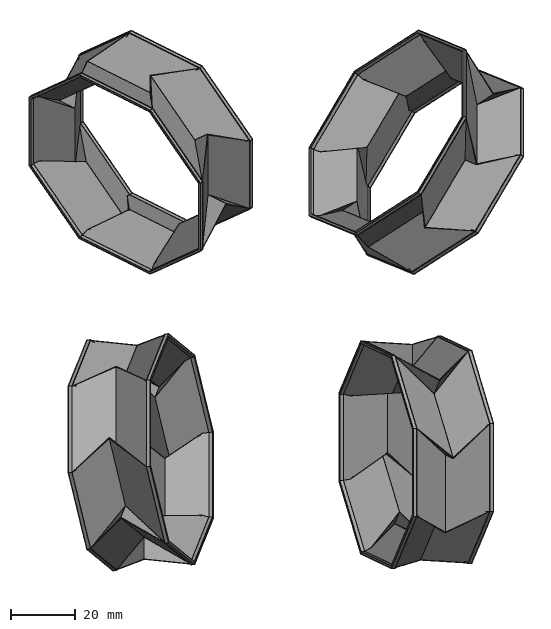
import math

import cadquery as cq

SIDES = 8
RING_ACROSS_FLATS = 66.78
RING_WIDTH = 1.2
TOTAL_WIDTH = 26.4
RING_STEP = 0.2
WAIST_APOTHEM = 26.2
PLEAT_OFFSET = 3.52
PANEL_WALL = 0.6
PLEAT_WALL = 0.9

SIDE_ANGLE = 2 * math.pi / SIDES
HALF_SIDE_RATIO = math.tan(SIDE_ANGLE / 2)
HALF_WIDTH = TOTAL_WIDTH / 2 - RING_WIDTH
RING_APOTHEM = RING_ACROSS_FLATS / 2
BODY_APOTHEM = RING_APOTHEM - RING_STEP
BORE_APOTHEM = BODY_APOTHEM - PANEL_WALL
WAIST_BORE_APOTHEM = WAIST_APOTHEM - PANEL_WALL
BODY_HALF_SIDE = BODY_APOTHEM * HALF_SIDE_RATIO
BORE_HALF_SIDE = BORE_APOTHEM * HALF_SIDE_RATIO


def turned(point, side):
    """Turn an (x, y, z) point of the top panel about Y, clockwise to the given side."""
    x, y, z = point
    angle = side * SIDE_ANGLE
    return (
        x * math.cos(angle) + z * math.sin(angle),
        y,
        z * math.cos(angle) - x * math.sin(angle),
    )


def next_panel_height(x, apothem):
    """Height at x of the panel clockwise of the top one, where its apothem is as given."""
    return apothem / math.cos(SIDE_ANGLE) - x * math.tan(SIDE_ANGLE)


def next_panel_x(z, apothem):
    """Position at height z of the panel clockwise of the top one."""
    return (apothem - z * math.cos(SIDE_ANGLE)) / math.sin(SIDE_ANGLE)


def outer_half_cell(end_y):
    """Faces of one outer panel and its pleat, from the waist to one end."""
    left_corner = (-BODY_HALF_SIDE, end_y, BODY_APOTHEM)
    right_corner = (BODY_HALF_SIDE, end_y, BODY_APOTHEM)
    root = (PLEAT_OFFSET, 0, WAIST_APOTHEM)
    blunt_edge = (PLEAT_OFFSET, 0, BODY_APOTHEM)
    next_start = (next_panel_x(BODY_APOTHEM, WAIST_APOTHEM), 0, BODY_APOTHEM)
    start = turned(next_start, -1)

    panel = [left_corner, right_corner, root, start]
    pleat = [right_corner, root, blunt_edge]
    blunt_tip = [right_corner, blunt_edge, next_start]
    return [panel, pleat, blunt_tip]


def inner_half_cell(end_y):
    """Faces of one inner panel and its pleat, from the waist to one end."""
    left_corner = (-BORE_HALF_SIDE, end_y, BORE_APOTHEM)
    right_corner = (BORE_HALF_SIDE, end_y, BORE_APOTHEM)
    root_x = PLEAT_OFFSET + PLEAT_WALL
    root = (root_x, 0, WAIST_BORE_APOTHEM)
    next_start = (root_x, 0, next_panel_height(root_x, WAIST_BORE_APOTHEM))
    start = turned(next_start, -1)

    pleat_run = BODY_HALF_SIDE - PLEAT_OFFSET
    waist_half_side = WAIST_BORE_APOTHEM * HALF_SIDE_RATIO
    corner_run = BORE_HALF_SIDE - waist_half_side
    fraction = (waist_half_side - root_x) / (pleat_run - corner_run)
    closing = (
        root_x + fraction * pleat_run,
        fraction * end_y,
        WAIST_BORE_APOTHEM + fraction * (BORE_APOTHEM - WAIST_BORE_APOTHEM),
    )
    previous_closing = turned(closing, -1)

    panel = [left_corner, right_corner, closing, root, start, previous_closing]
    pleat = [closing, root, next_start]
    return [panel, pleat]


def flat_face(points):
    vectors = [cq.Vector(*point) for point in points]
    return cq.Face.makeFromWires(cq.Wire.makePolygon(vectors, close=True))


def folded_solid(half_cell, apothem):
    """Solid inside a folded surface, closed by a flat octagon at each end."""
    faces = []
    for end_y in (-HALF_WIDTH, HALF_WIDTH):
        for side in range(SIDES):
            for outline in half_cell(end_y):
                faces.append(flat_face([turned(point, side) for point in outline]))
        corner = (apothem * HALF_SIDE_RATIO, end_y, apothem)
        faces.append(flat_face([turned(corner, side) for side in range(SIDES)]))
    solid = cq.Solid.makeSolid(cq.Shell.makeShell(faces))
    return cq.Workplane("XY").newObject([solid.fix()])


def octagon_prism(apothem, start_y):
    corner = (apothem * HALF_SIDE_RATIO, start_y, apothem)
    end_face = flat_face([turned(corner, side) for side in range(SIDES)])
    prism = cq.Solid.extrudeLinear(end_face, cq.Vector(0, RING_WIDTH, 0))
    return cq.Workplane("XY").newObject([prism])


def end_ring(start_y):
    return octagon_prism(RING_APOTHEM, start_y).cut(octagon_prism(BORE_APOTHEM, start_y))


outer_body = folded_solid(outer_half_cell, BODY_APOTHEM)
inner_hollow = folded_solid(inner_half_cell, BORE_APOTHEM)
folded_wall = outer_body.cut(inner_hollow)
result = folded_wall.union(end_ring(HALF_WIDTH)).union(end_ring(-TOTAL_WIDTH / 2))